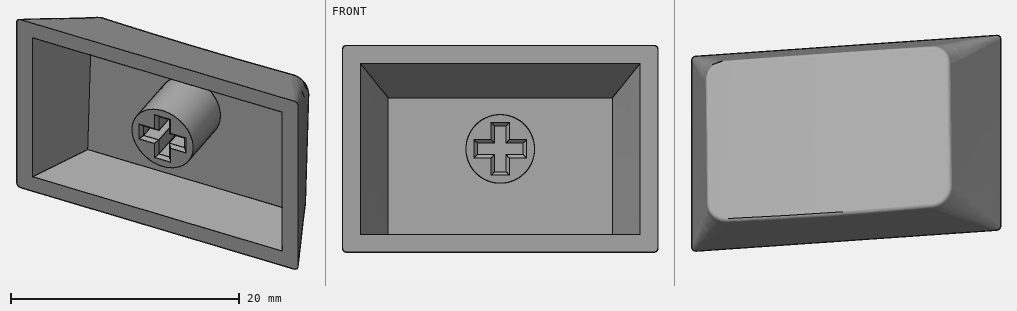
import cadquery as cq
import math


rim_width = 27.6
rim_height = 18.1
top_width = 21.7
top_upper_edge_z = 5.5
peak_y = 8.0
top_tilt = 3.3

corner_radius_rim = 0.4
corner_radius_top = 1.8
top_edge_radius = 0.3

dish_depth = 0.45

wall = 1.57
floor_width = 19.6
floor_upper_edge_z = 4.46
floor_upper_edge_y = 6.5

stem_radius = 3.0
stem_inset = 1.0
cross_span = 4.02
cross_arm = 1.02
cross_chamfer = 0.29

tilt_slope = math.tan(math.radians(top_tilt))
rim_bottom_z = -rim_height / 2
cavity_width = rim_width - 2 * wall
cavity_bottom_z = rim_bottom_z + wall
cavity_top_z = rim_height / 2 - wall


def sloped_rectangle(width, lower_z, upper_z, upper_y, slope):
    """Rectangle across X whose lower edge drops back in Y by the given slope."""
    lower_y = upper_y - slope * (upper_z - lower_z)
    half = width / 2
    corners = [
        cq.Vector(-half, lower_y, lower_z),
        cq.Vector(half, lower_y, lower_z),
        cq.Vector(half, upper_y, upper_z),
        cq.Vector(-half, upper_y, upper_z),
    ]
    return cq.Wire.makePolygon(corners, close=True)


def tapered_block(rim_section, far_section):
    return cq.Solid.makeLoft([rim_section, far_section], True)


def round_corners(block):
    """Round the four corner edges with a radius that grows from the rim to the top."""
    maker = cq.occ_impl.shapes.BRepFilletAPI_MakeFillet(block.wrapped)
    for edge in block.Edges():
        start_y = edge.startPoint().y
        end_y = edge.endPoint().y
        spans_the_taper = abs(end_y - start_y) > peak_y / 2
        if spans_the_taper:
            radii = (corner_radius_rim, corner_radius_top)
            if start_y > end_y:
                radii = radii[::-1]
            maker.Add(*radii, edge.wrapped)
    return cq.Shape.cast(maker.Shape())


def dish_cutter():
    half = top_width / 2
    radius = (half**2 + dish_depth**2) / (2 * dish_depth)
    along = cq.Vector(0, tilt_slope, 1).normalized()
    outward = cq.Vector(0, along.z, -along.y)
    edge_point = cq.Vector(0, peak_y, top_upper_edge_z)
    length = 4 * rim_height
    start = edge_point + outward * (radius - dish_depth) - along * (length / 2)
    return cq.Workplane(cq.Solid.makeCylinder(radius, length, start, along))


def outer_body():
    rim_section = sloped_rectangle(rim_width, rim_bottom_z, rim_height / 2, 0, 0)
    top_section = sloped_rectangle(top_width, rim_bottom_z, top_upper_edge_z, peak_y, tilt_slope)
    block = round_corners(tapered_block(rim_section, top_section))
    dished = cq.Workplane(block).cut(dish_cutter())
    return dished.faces(">Y").edges().fillet(top_edge_radius)


def cavity():
    rim_section = sloped_rectangle(cavity_width, cavity_bottom_z, cavity_top_z, 0, 0)
    floor_section = sloped_rectangle(
        floor_width, cavity_bottom_z, floor_upper_edge_z, floor_upper_edge_y, tilt_slope
    )
    return cq.Workplane(tapered_block(rim_section, floor_section))


def cross_section(y, growth):
    """Plus-shaped wire at the given depth, widened by growth on every side."""
    span = cross_span / 2 + growth
    arm = cross_arm / 2 + growth
    quarter = [(arm, span), (arm, arm), (span, arm)]
    mirrored = quarter[::-1]
    outline = list(quarter)
    outline += [(x, -z) for x, z in mirrored]
    outline += [(-x, -z) for x, z in quarter]
    outline += [(-x, z) for x, z in mirrored]
    return cq.Wire.makePolygon([cq.Vector(x, y, z) for x, z in outline], close=True)


def stem():
    mouth = cq.Workplane("XZ", origin=(0, stem_inset, 0))
    post = mouth.circle(stem_radius).extrude(-floor_upper_edge_y)
    mouth_section = cross_section(stem_inset, cross_chamfer)
    throat_section = cross_section(stem_inset + cross_chamfer, 0)
    end_section = cross_section(stem_inset + floor_upper_edge_y, 0)
    lead_in = tapered_block(mouth_section, throat_section)
    socket = tapered_block(throat_section, end_section)
    return post.cut(cq.Workplane(lead_in)).cut(cq.Workplane(socket)).intersect(cavity())


result = outer_body().cut(cavity()).union(stem())